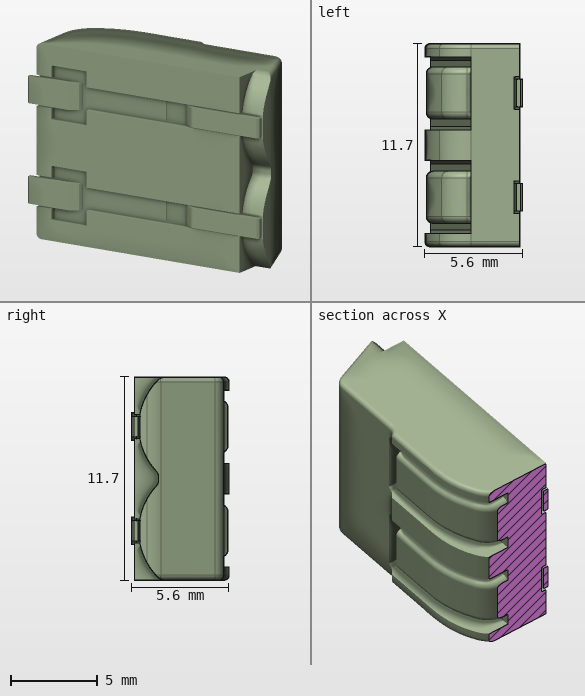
import cadquery as cq
import math


width = 11.7
pole_pitch = 6.0
pole_centres = (-pole_pitch / 2, pole_pitch / 2)
crest_height = 5.45
roof_height = 5.15
shoulder_height = 2.82
shoulder_arc_end = (1.03, 4.64)
crown_arc_end = (3.24, 5.39)
crest_start = 5.12
crest_end = 7.93
step_ramp_end = (8.15, 5.26)
roof_start = 8.56
roof_corner_radius = 0.8
side_edge_radius = 0.3

nose_start = 13.82
nose_end = 15.2
slope_angle = math.radians(22.5)
nose_bend_height = 0.72
nose_bend_radius = 2.1
lobe_bottom = 0.25
lobe_radius = 3.78
lobe_half_width = 2.74
nose_side_height = 1.93
web_half_width = 0.08
web_blend_radius = 0.5

recess_inner = 0.88
recess_outer = 5.08
recess_end = 8.6
recess_corner_chamfer = 0.2
lever_width = 3.0
lever_start = 0.42
lever_end = 7.6
lever_arc_start = 3.05
lever_shoulder_end = (1.25, 4.5)
lever_top_start = 4.8
lever_top = 5.39
lever_edge_radius = 0.4

cavity_depth = 0.34
notch_width = 1.88
pocket_start = 1.02
pocket_end = 3.40
pocket_width = 3.28
channel_width = 1.38
cavity_corner_radius = 0.1
ramp_start = 8.63
ramp_end = 9.77
ramp_depth = 0.05

contact_drop = 0.15
contact_thickness = 0.35
contact_chamfer = 0.12
contact_overlap = 0.1
tab_width = 1.6
overall_length = 15.75
tab_start = nose_end - overall_length
tab_bend = 2.23
tab_rise_end = (2.80, 0.13)
tab_end = 2.94
foot_width = 1.18
foot_rise_start = 9.92
foot_bend = 10.65
foot_bend_radius = 0.4


def block(x_range, y_range, z_centre, z_size):
    """Box given by its X and Y limits and its centre and size along Z."""
    return (
        cq.Workplane("XY", origin=(0, 0, z_centre - z_size / 2))
        .moveTo(x_range[0], y_range[0])
        .lineTo(x_range[1], y_range[0])
        .lineTo(x_range[1], y_range[1])
        .lineTo(x_range[0], y_range[1])
        .close()
        .extrude(z_size)
    )


def housing_shell():
    """Side outline of the housing across the full width, with rounded side edges."""
    normal_x = math.cos(slope_angle)
    normal_y = math.sin(slope_angle)
    slope_foot = (
        nose_end - nose_bend_radius * (1 - normal_x),
        nose_bend_height + nose_bend_radius * normal_y,
    )
    corner_y = roof_height - roof_corner_radius
    slope_distance = normal_x * slope_foot[0] + normal_y * slope_foot[1]
    corner_x = (slope_distance - roof_corner_radius - normal_y * corner_y) / normal_x
    slope_top = (
        corner_x + roof_corner_radius * normal_x,
        corner_y + roof_corner_radius * normal_y,
    )
    shell = (
        cq.Workplane("XY", origin=(0, 0, -width / 2))
        .moveTo(0, 0)
        .lineTo(0, shoulder_height)
        .tangentArcPoint(shoulder_arc_end, relative=False)
        .tangentArcPoint(crown_arc_end, relative=False)
        .tangentArcPoint((crest_start, crest_height), relative=False)
        .lineTo(crest_end, crest_height)
        .lineTo(*step_ramp_end)
        .tangentArcPoint((roof_start, roof_height), relative=False)
        .lineTo(corner_x, roof_height)
        .tangentArcPoint(slope_top, relative=False)
        .lineTo(*slope_foot)
        .tangentArcPoint((nose_end, nose_bend_height), relative=False)
        .lineTo(nose_end, 0)
        .close()
        .extrude(width)
    )
    side_edges = shell.faces("<Z or >Z").edges().edges("not <Y")
    return shell.newObject(side_edges.vals()).fillet(side_edge_radius)


def nose_half():
    """Half of the nose: its underside is one lobe that blends into a web at the mid-plane."""
    lobe_z = pole_pitch / 2
    lobe_y = lobe_bottom + lobe_radius
    blend_span = lobe_z - web_half_width
    blend_reach = lobe_radius + web_blend_radius
    blend_y = lobe_y - math.sqrt(blend_reach**2 - blend_span**2)
    web_y = blend_y + web_blend_radius
    blend_end = (
        lobe_z - blend_span * lobe_radius / blend_reach,
        lobe_y - (lobe_y - blend_y) * lobe_radius / blend_reach,
    )
    lobe_edge_y = lobe_y - math.sqrt(lobe_radius**2 - lobe_half_width**2)
    side = width / 2
    plane = cq.Plane(origin=(nose_start, 0, 0), xDir=(0, 0, 1), normal=(-1, 0, 0))
    return (
        cq.Workplane(plane)
        .moveTo(0, crest_height)
        .lineTo(side, crest_height)
        .lineTo(side, nose_side_height)
        .tangentArcPoint((lobe_z + lobe_half_width, lobe_edge_y), relative=False)
        .threePointArc((lobe_z, lobe_bottom), blend_end)
        .tangentArcPoint((web_half_width, web_y), relative=False)
        .lineTo(0, web_y)
        .close()
        .extrude(nose_start - nose_end)
    )


def housing():
    """Housing with a full-depth main part and a nose whose underside has two lobes."""
    main_part = block((0, nose_start), (0, crest_height), 0, width)
    half = nose_half()
    envelope = main_part.union(half).union(half.mirror("XY"))
    return housing_shell().intersect(envelope)


def lever_recess(z_centre):
    """Opening around one lever, with chamfered corners at its back wall."""
    recess_centre = math.copysign((recess_inner + recess_outer) / 2, z_centre)
    recess_width = recess_outer - recess_inner
    recess = block((0, recess_end), (shoulder_height, crest_height), recess_centre, recess_width)
    return recess.faces(">X").edges("|Y").chamfer(recess_corner_chamfer)


def lever(z_centre):
    """Lever with a rounded front and rounded side edges."""
    body = (
        cq.Workplane("XY", origin=(0, 0, z_centre - lever_width / 2))
        .moveTo(lever_start, shoulder_height)
        .lineTo(lever_start, lever_arc_start)
        .tangentArcPoint(lever_shoulder_end, relative=False)
        .tangentArcPoint((lever_top_start, lever_top), relative=False)
        .lineTo(lever_end, lever_top)
        .lineTo(lever_end, shoulder_height)
        .close()
        .extrude(lever_width)
    )
    side_edges = body.faces("<Z or >Z").edges().edges("not (<Y or >X)")
    return body.newObject(side_edges.vals()).fillet(lever_edge_radius)


def contact_cavity(z_centre):
    """Notch, pocket and channel for one contact, with a shallow ramp in the channel floor."""
    depth = (0, cavity_depth)
    notch = block((0, pocket_start), depth, z_centre, notch_width)
    notch = notch.faces(">Y").edges("|X").fillet(cavity_corner_radius)
    pocket = block((pocket_start, pocket_end), depth, z_centre, pocket_width)
    pocket = pocket.faces("<X").edges("|Y").fillet(cavity_corner_radius)
    channel = block((pocket_end, nose_end), depth, z_centre, channel_width)
    ramp = (
        cq.Workplane("XY", origin=(0, 0, z_centre - foot_width / 2))
        .moveTo(ramp_start, 0)
        .lineTo(ramp_start, cavity_depth + ramp_depth)
        .lineTo(ramp_end, cavity_depth)
        .lineTo(ramp_end, 0)
        .close()
        .extrude(foot_width)
    )
    return notch.union(pocket).union(channel).union(ramp)


def solder_tab(z_centre):
    """Flat tab at the lever end that bends up into the pocket floor."""
    inner_face = contact_thickness - contact_drop
    bend_slope = (tab_rise_end[1] + contact_drop) / (tab_rise_end[0] - tab_bend)
    buried = cavity_depth + contact_overlap
    inner_bend = tab_bend - contact_thickness / 2
    return (
        cq.Workplane("XY", origin=(0, 0, z_centre - tab_width / 2))
        .moveTo(tab_start, inner_face)
        .lineTo(tab_start, contact_chamfer - contact_drop)
        .lineTo(tab_start + contact_chamfer, -contact_drop)
        .lineTo(tab_bend, -contact_drop)
        .lineTo(*tab_rise_end)
        .lineTo(tab_end, cavity_depth)
        .lineTo(tab_end, buried)
        .lineTo(inner_bend + (buried - inner_face) / bend_slope, buried)
        .lineTo(inner_bend, inner_face)
        .close()
        .extrude(tab_width)
    )


def solder_foot(z_centre):
    """Flat foot under the nose that bends down out of the channel floor."""
    inner_face = contact_thickness - contact_drop
    rise_slope = (cavity_depth + contact_drop) / (foot_bend - foot_rise_start)
    buried = cavity_depth + contact_overlap
    inner_bend = foot_bend + contact_thickness / 2
    foot = (
        cq.Workplane("XY", origin=(0, 0, z_centre - foot_width / 2))
        .moveTo(nose_end, inner_face)
        .lineTo(nose_end, contact_chamfer - contact_drop)
        .lineTo(nose_end - contact_chamfer, -contact_drop)
        .lineTo(foot_bend, -contact_drop)
        .lineTo(foot_rise_start, cavity_depth)
        .lineTo(foot_rise_start, buried)
        .lineTo(inner_bend - (buried - inner_face) / rise_slope, buried)
        .lineTo(inner_bend, inner_face)
        .close()
        .extrude(foot_width)
    )
    bend_edge = cq.selectors.NearestToPointSelector((foot_bend, -contact_drop, z_centre))
    return foot.edges("|Z").edges(bend_edge).fillet(foot_bend_radius)


result = housing()
for pole_z in pole_centres:
    result = result.cut(lever_recess(pole_z)).cut(contact_cavity(pole_z))
    result = result.union(lever(pole_z)).union(solder_tab(pole_z)).union(solder_foot(pole_z))